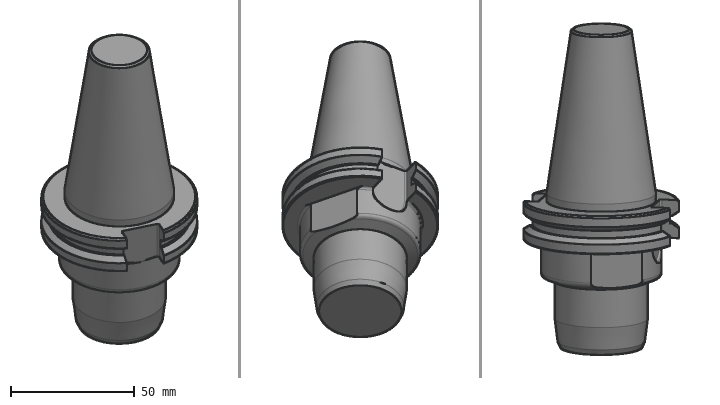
import cadquery as cq
import math

total_height = 131.8
nose_chamfer_top = 2.4
nose_taper_top = 11.9
shank_top = 27.5
collar_cone_top = 29.4
collar_round_top = 31.4
flange_bottom = 44.8
groove_bottom = 49.1
groove_floor_bottom = 50.9
groove_floor_top = 54.0
groove_top = 55.9
flange_top = 60.6
pilot_top = 63.8

nose_radius = 16.7
nose_taper_radius = 17.8
shank_radius = 38.0 / 2
collar_radius = 24.5
flange_radius = 63.4 / 2
groove_radius = 28.0
groove_ledge_radius = 28.9
pilot_radius = 22.3
taper_end_radius = 12.4

collar_round = collar_round_top - collar_cone_top
collar_round_start_radius = collar_radius - 1.2
flange_chamfer = 0.8
flange_lower_chamfer = 0.4
groove_rim_chamfer = 0.3
taper_end_chamfer_width = 1.0
taper_end_chamfer_height = 0.8
neck_fillet = 1.0

slot_width = 16.1
slot_end_height = 36.0
slot_corner_radius = 0.8
deep_slot_floor = 22.7
shallow_slot_floor = collar_radius
collar_flat_distance = 22.0
collar_flat_angle = 120.0


def turned_body():
    """Nose, shank, collar, grooved flange and taper as one revolved profile."""
    diagonal = math.sqrt(0.5)
    neck_mid_radius = collar_radius + neck_fillet * (1 - diagonal)
    neck_mid_height = flange_bottom - neck_fillet * (1 - diagonal)
    collar_mid_radius = collar_radius - (collar_radius - collar_round_start_radius) * (1 - diagonal)
    collar_mid_height = collar_round_top - collar_round * diagonal
    profile = (
        cq.Workplane("XZ")
        .lineTo(nose_radius, 0)
        .lineTo(nose_taper_radius, nose_chamfer_top)
        .lineTo(shank_radius, nose_taper_top)
        .lineTo(shank_radius, shank_top)
        .lineTo(collar_round_start_radius, collar_cone_top)
        .threePointArc((collar_mid_radius, collar_mid_height), (collar_radius, collar_round_top))
        .lineTo(collar_radius, flange_bottom - neck_fillet)
        .threePointArc((neck_mid_radius, neck_mid_height), (collar_radius + neck_fillet, flange_bottom))
        .lineTo(flange_radius - flange_lower_chamfer, flange_bottom)
        .lineTo(flange_radius, flange_bottom + flange_lower_chamfer)
        .lineTo(flange_radius, groove_bottom - groove_rim_chamfer)
        .lineTo(flange_radius - groove_rim_chamfer, groove_bottom)
        .lineTo(groove_ledge_radius, groove_floor_bottom)
        .lineTo(groove_radius, groove_floor_bottom)
        .lineTo(groove_radius, groove_floor_top)
        .lineTo(groove_ledge_radius, groove_floor_top)
        .lineTo(flange_radius - groove_rim_chamfer, groove_top)
        .lineTo(flange_radius, groove_top + groove_rim_chamfer)
        .lineTo(flange_radius, flange_top - flange_chamfer)
        .lineTo(flange_radius - flange_chamfer, flange_top)
        .lineTo(pilot_radius, flange_top)
        .lineTo(pilot_radius, pilot_top)
        .lineTo(taper_end_radius, total_height - taper_end_chamfer_height)
        .lineTo(taper_end_radius - taper_end_chamfer_width, total_height)
        .lineTo(0, total_height)
        .close()
    )
    return profile.revolve(360, (0, 0), (0, 1))


def drive_slot(side, floor_distance):
    """Cutter for a round-ended slot on the -X (side=-1) or +X (side=1) side."""
    half_width = slot_width / 2
    arc_center_height = slot_end_height + half_width
    depth = flange_radius - floor_distance
    cutter = (
        cq.Workplane("YZ", origin=(side * floor_distance, 0, 0))
        .moveTo(-half_width, flange_top)
        .lineTo(-half_width, arc_center_height)
        .threePointArc((0, slot_end_height), (half_width, arc_center_height))
        .lineTo(half_width, flange_top)
        .close()
        .extrude(side * depth)
    )
    floor_face = "<X" if side > 0 else ">X"
    return cutter.faces(floor_face).edges("not(>Z)").fillet(slot_corner_radius)


def collar_flat():
    """Cutter that leaves one flat on the collar, below the flange."""
    cut_depth = flange_radius - collar_flat_distance
    flat_height = flange_bottom - shank_top
    return (
        cq.Workplane("XY")
        .box(cut_depth, 2 * flange_radius, flat_height, centered=(False, True, False))
        .translate((collar_flat_distance, 0, shank_top))
        .rotate((0, 0, 0), (0, 0, 1), collar_flat_angle)
    )


result = (
    turned_body()
    .cut(drive_slot(-1, deep_slot_floor))
    .cut(drive_slot(1, shallow_slot_floor))
    .cut(collar_flat())
)